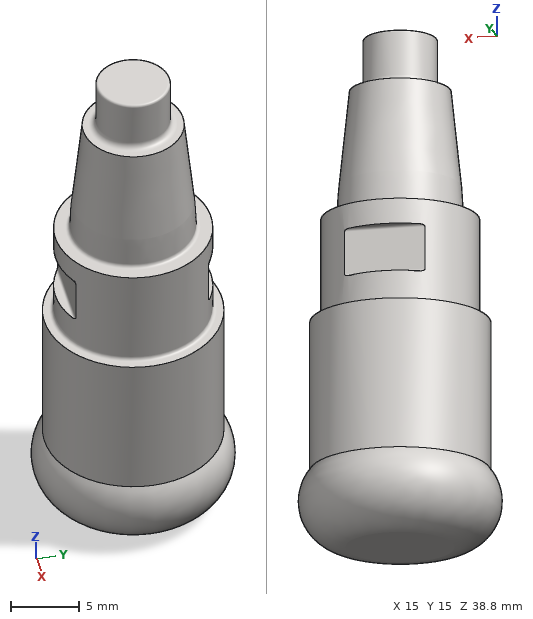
import cadquery as cq
import math

total_height = 38.8

foot_diameter = 15.0
foot_edge_radius = 3.5
foot_flat_radius = foot_diameter / 2 - foot_edge_radius

barrel_radius = 13.34 / 2
barrel_top = 17.15
collar_radius = 11.7 / 2
collar_top = 25.0
step_fillet = 0.3

taper_angle = math.radians(6)
neck_top_radius = 3.75
neck_top = 34.8
neck_blend_radius = 24.0

pin_radius = 5.5 / 2
pin_root_fillet = 0.5
pin_edge_radius = 0.2

flat_across = 10.0
flat_bottom = 19.5
flat_top = 23.1
flat_corner_fillet = 0.2

blend_top = collar_top + neck_blend_radius * math.sin(taper_angle)
blend_top_radius = neck_top_radius + (neck_top - blend_top) * math.tan(taper_angle)
neck_base_radius = blend_top_radius + neck_blend_radius * (1 - math.cos(taper_angle))
seat_reach = barrel_radius - foot_flat_radius
seat_height = foot_edge_radius + math.sqrt(foot_edge_radius**2 - seat_reach**2)


def blend_point(angle):
    """Point on the neck blend arc where the surface leans by the given angle."""
    radius = neck_base_radius - neck_blend_radius * (1 - math.cos(angle))
    return radius, collar_top + neck_blend_radius * math.sin(angle)


def quarter_point(center_radius, center_height, size, radial_sign, height_sign):
    """Middle point of a quarter round with the given centre."""
    reach = size * math.sqrt(0.5)
    return center_radius + radial_sign * reach, center_height + height_sign * reach


def make_foot():
    """Rounded foot with a flat sole and a flat seat under the barrel."""
    return (
        cq.Workplane("XZ")
        .lineTo(foot_flat_radius, 0)
        .threePointArc((foot_diameter / 2, foot_edge_radius), (barrel_radius, seat_height))
        .lineTo(0, seat_height)
        .close()
        .revolve(360, (0, 0), (0, 1))
    )


def make_stem_blank():
    """Turned stem: barrel, collar, tapered neck and tip pin."""
    fillet_end_angle = math.asin(step_fillet / neck_blend_radius)
    middle_blend_angle = (fillet_end_angle + taper_angle) / 2
    return (
        cq.Workplane("XZ")
        .moveTo(0, seat_height)
        .lineTo(barrel_radius, seat_height)
        .lineTo(barrel_radius, barrel_top)
        .lineTo(collar_radius + step_fillet, barrel_top)
        .threePointArc(
            quarter_point(collar_radius + step_fillet, barrel_top + step_fillet, step_fillet, -1, -1),
            (collar_radius, barrel_top + step_fillet),
        )
        .lineTo(collar_radius, collar_top)
        .lineTo(neck_base_radius + step_fillet, collar_top)
        .threePointArc(
            quarter_point(neck_base_radius + step_fillet, collar_top + step_fillet, step_fillet, -1, -1),
            blend_point(fillet_end_angle),
        )
        .threePointArc(blend_point(middle_blend_angle), (blend_top_radius, blend_top))
        .lineTo(neck_top_radius, neck_top)
        .lineTo(pin_radius + pin_root_fillet, neck_top)
        .threePointArc(
            quarter_point(pin_radius + pin_root_fillet, neck_top + pin_root_fillet, pin_root_fillet, -1, -1),
            (pin_radius, neck_top + pin_root_fillet),
        )
        .lineTo(pin_radius, total_height - pin_edge_radius)
        .threePointArc(
            quarter_point(pin_radius - pin_edge_radius, total_height - pin_edge_radius, pin_edge_radius, 1, 1),
            (pin_radius - pin_edge_radius, total_height),
        )
        .lineTo(0, total_height)
        .close()
        .revolve(360, (0, 0), (0, 1))
    )


def make_flat_cutter(side):
    """Block that cuts one wrench flat, with rounded inner corners; side is -1 or +1 along Y."""
    depth = barrel_radius - flat_across / 2
    inner_edges = "|X and >Y" if side < 0 else "|X and <Y"
    return (
        cq.Workplane("XY")
        .box(2 * barrel_radius, depth, flat_top - flat_bottom)
        .edges(inner_edges)
        .fillet(flat_corner_fillet)
        .translate((0, side * (flat_across + depth) / 2, (flat_bottom + flat_top) / 2))
    )


def make_stem():
    """Stem with two opposite wrench flats."""
    stem = make_stem_blank()
    for side in (-1, 1):
        stem = stem.cut(make_flat_cutter(side))
    return stem


foot = make_foot()
stem = make_stem()

result = cq.Compound.makeCompound([foot.val(), stem.val()])